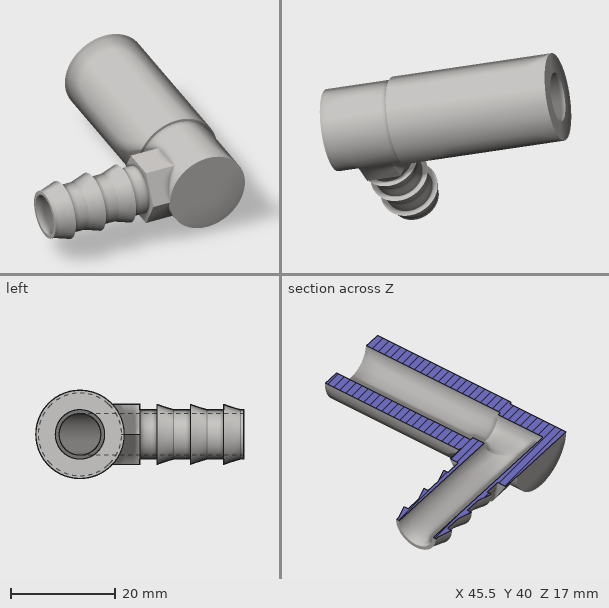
import cadquery as cq
import math

total_length = 45.5
barrel_diameter = 17.0
collar_diameter = 15.95
collar_length = 13.45
barrel_length = total_length - collar_length

bore_diameter = 8.0
socket_diameter = 9.5

stem_x = total_length - collar_length / 2
hex_corner_diameter = 13.38
hex_end = 11.5
stem_diameter = 9.5
stem_end = 31.5

barb_diameter = 11.55
barb_pitch = 6.4
barb_length = barb_pitch / 2
barb_count = 3
first_barb = 14.8


def cylinder_along_x(diameter, start, length):
    return cq.Workplane("YZ", origin=(start, 0, 0)).circle(diameter / 2).extrude(length)


def plane_across_stem(distance):
    """Plane facing -Y at a given distance from the barrel axis, on the stem axis."""
    return cq.Workplane("XZ", origin=(stem_x, -distance, 0))


def barb(distance):
    """Cone with its sharp shoulder at the given distance, narrowing towards the stem tip."""
    taper = math.degrees(math.atan2((barb_diameter - stem_diameter) / 2, barb_length))
    return plane_across_stem(distance).circle(barb_diameter / 2).extrude(barb_length, taper=taper)


def elbow_bore():
    """Passage from the barrel mouth to the stem tip, with a mitred corner."""
    path = cq.Workplane("XY").polyline([(0, 0), (stem_x, 0), (stem_x, -stem_end)])
    return cq.Workplane("YZ").circle(bore_diameter / 2).sweep(path, transition="right")


barrel = cylinder_along_x(barrel_diameter, 0, barrel_length)
collar = cylinder_along_x(collar_diameter, barrel_length, collar_length)
hexagon = plane_across_stem(0).polygon(6, hex_corner_diameter).extrude(hex_end)
stem = plane_across_stem(0).circle(stem_diameter / 2).extrude(stem_end)

body = barrel.union(collar).union(hexagon).union(stem)
for index in range(barb_count):
    body = body.union(barb(first_barb + index * barb_pitch))

socket = cylinder_along_x(socket_diameter, 0, barrel_length)
result = body.cut(elbow_bore()).cut(socket)